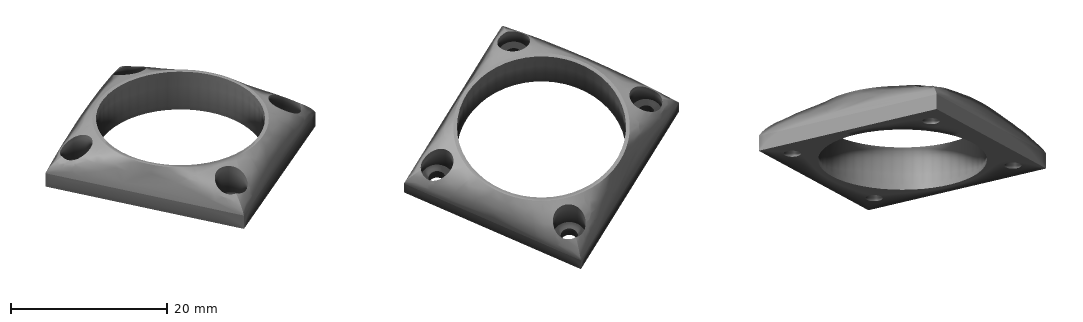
import cadquery as cq
import math

length = 27.23
width = 25.51
height = 5.8
base_height = 2.05

bore_diameter = 21.62
rim_diameter = 22.6

x_side_straightness = 0.0
corner_straightness = 0.3
y_side_straightness = 0.9
fullness = 3

side_steps = 8
level_steps = 6

hole_spacing_x = 21.25
hole_spacing_y = 19.05
screw_diameter = 2.2
head_diameter = 4.2
head_seat_height = 1.5

base = cq.Workplane("XY").box(length, width, base_height, centered=(True, True, False))

shoulder_height = height - base_height
arc_run = (length - rim_diameter) / 2
arc_radius = (shoulder_height**2 + arc_run**2) / (2 * arc_run)


def inward_progress(level, straightness):
    """Fraction of the way from plate edge to rim at a level from 0 (plate) to 1 (rim).

    Straightness 0 follows the arc and 1 follows a straight slope.
    """
    rise = level * shoulder_height
    arc = (arc_radius - math.sqrt(arc_radius**2 - rise**2)) / arc_run
    return arc + straightness * (level - arc)


def side_edge(level, start, end, middle_straightness):
    """Section curve of one side, between two neighbouring plate corners."""
    start_angle = math.atan2(start[1], start[0])
    sweep = (math.atan2(end[1], end[0]) - start_angle) % (2 * math.pi)
    points = []
    for i in range(side_steps + 1):
        along = i / side_steps
        cornerness = (2 * along - 1) ** 2
        straightness = (
            corner_straightness * cornerness**fullness
            + middle_straightness * (1 - cornerness) ** fullness
        )
        progress = inward_progress(level, straightness)
        angle = start_angle + sweep * along
        plate_x = start[0] + (end[0] - start[0]) * along
        plate_y = start[1] + (end[1] - start[1]) * along
        x = plate_x + (rim_diameter / 2 * math.cos(angle) - plate_x) * progress
        y = plate_y + (rim_diameter / 2 * math.sin(angle) - plate_y) * progress
        points.append(cq.Vector(x, y, base_height + level * shoulder_height))
    return cq.Edge.makeSpline(points)


def shoulder_section(level):
    """Closed section of the shoulder: a rectangle at level 0, the round rim at level 1."""
    half_x = length / 2
    half_y = width / 2
    corners = [(half_x, -half_y), (half_x, half_y), (-half_x, half_y), (-half_x, -half_y)]
    straightness = [x_side_straightness, y_side_straightness] * 2
    edges = []
    for i in range(len(corners)):
        edges.append(side_edge(level, corners[i], corners[(i + 1) % len(corners)], straightness[i]))
    return cq.Wire.assembleEdges(edges)


sections = [shoulder_section(i / level_steps) for i in range(level_steps + 1)]
shoulder = cq.Workplane(cq.Solid.makeLoft(sections))

bore = cq.Workplane("XY").circle(bore_diameter / 2).extrude(height)


def screw_cutters(diameter, bottom):
    """Vertical cylinders at the four corners, from the given height upwards."""
    return (
        cq.Workplane("XY")
        .workplane(offset=bottom)
        .rect(hole_spacing_x, hole_spacing_y, forConstruction=True)
        .vertices()
        .circle(diameter / 2)
        .extrude(height - bottom)
    )


result = (
    base.union(shoulder)
    .cut(bore)
    .cut(screw_cutters(screw_diameter, 0))
    .cut(screw_cutters(head_diameter, head_seat_height))
)